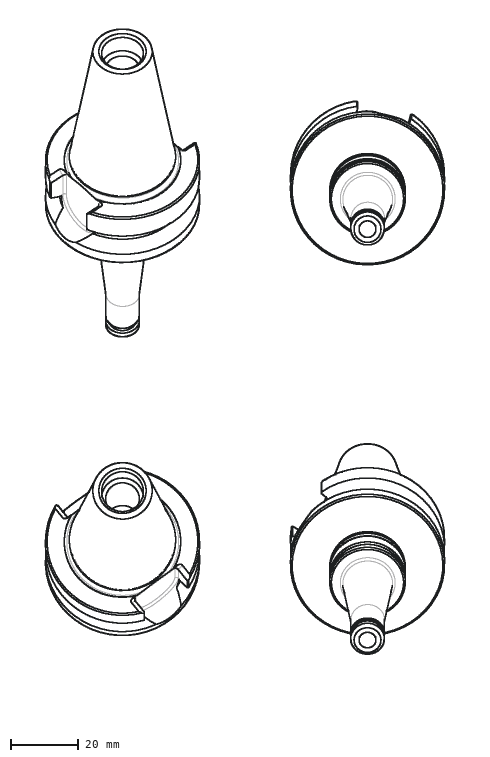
import cadquery as cq
import math

length = 125.9

nose_r = 5.0
nose_groove_r = 4.0
nose_chamfer = 1.0
nose_groove_bottom = 2.8
nose_groove_top = 4.5
nose_groove_bevel = 0.4
nose_top = 15.1

stem_top_r = 7.4
stem_fillet = 0.8

collar_diameter = 22.5
collar_r = collar_diameter / 2
collar_bottom = 42.8
collar_chamfer = 0.5
collar_root_r = 10.8
groove_bevel_r = 11.0
groove_arc_height = 1.1
groove_bevel_height = 0.8
lower_groove_bottom = 45.5
upper_groove_bottom = 51.9
collar_bevel_start = 54.6
collar_bevel = 0.3

flange_diameter = 46.0
flange_r = flange_diameter / 2
flange_bottom = 55.5
flange_top = 76.3
flange_chamfer = 0.5
v_root_r = 18.9
v_lower_edge = 59.8
v_root_bottom = 62.0
v_root_top = 65.6
v_upper_edge = 68.1

relief_r = 17.4
relief_depth = 0.4
neck_diameter = 31.1
neck_r = neck_diameter / 2
neck_fillet = 1.1

shank_base = 77.8
shank_base_r = 15.9
taper_ratio = 7 / 24
shank_top_r = shank_base_r - (length - shank_base) * taper_ratio / 2

mouth_r = 7.0
counterbore_diameter = 12.5
counterbore_r = counterbore_diameter / 2
counterbore_depth = 6.9
thread_countersink = 1.0
thread_r = 5.0
thread_depth = 30.2
through_r = 2.5
drill_tip_half_angle = 59.0

slot_half_width = 8.0
slot_wall_spacing = 31.9
slot_wall_y = slot_wall_spacing / 2
slot_centre_z = 66.3
slot_fillet = 0.8
slot_top_chamfer = 1.5
slot_edge_chamfer = 0.4


def lower_collar_groove(profile):
    """Bevel at the bottom, rounded root at the top."""
    arc_start = lower_groove_bottom + groove_bevel_height
    return (
        profile.lineTo(collar_r, lower_groove_bottom)
        .lineTo(groove_bevel_r, arc_start)
        .threePointArc(
            (collar_root_r, arc_start + groove_arc_height / 2),
            (collar_r, arc_start + groove_arc_height),
        )
    )


def upper_collar_groove(profile):
    """Mirror image of the lower groove: rounded root at the bottom, bevel at the top."""
    arc_end = upper_groove_bottom + groove_arc_height
    return (
        profile.lineTo(collar_r, upper_groove_bottom)
        .threePointArc(
            (collar_root_r, upper_groove_bottom + groove_arc_height / 2),
            (groove_bevel_r, arc_end),
        )
        .lineTo(collar_r, arc_end + groove_bevel_height)
    )


def turned_body():
    """Outer shape, revolved from one half-profile running up from the nose."""
    relief_z = flange_top - relief_depth
    profile = (
        cq.Workplane("XZ")
        .lineTo(nose_r - nose_chamfer, 0)
        .lineTo(nose_r, nose_chamfer)
        .lineTo(nose_r, nose_groove_bottom)
        .lineTo(nose_groove_r, nose_groove_bottom)
        .lineTo(nose_groove_r, nose_groove_top)
        .lineTo(nose_r - nose_groove_bevel, nose_groove_top)
        .lineTo(nose_r, nose_groove_top + nose_groove_bevel)
        .lineTo(nose_r, nose_top)
        .lineTo(stem_top_r, collar_bottom - stem_fillet)
        .radiusArc((stem_top_r + stem_fillet, collar_bottom), stem_fillet)
        .lineTo(collar_r - collar_chamfer, collar_bottom)
        .lineTo(collar_r, collar_bottom + collar_chamfer)
    )
    profile = lower_collar_groove(profile)
    profile = upper_collar_groove(profile)
    profile = (
        profile.lineTo(collar_r, collar_bevel_start)
        .lineTo(collar_r - collar_bevel, flange_bottom)
        .lineTo(flange_r - flange_chamfer, flange_bottom)
        .lineTo(flange_r, flange_bottom + flange_chamfer)
        .lineTo(flange_r, v_lower_edge)
        .lineTo(v_root_r, v_root_bottom)
        .lineTo(v_root_r, v_root_top)
        .lineTo(flange_r, v_upper_edge)
        .lineTo(flange_r, flange_top - flange_chamfer)
        .lineTo(flange_r - flange_chamfer, flange_top)
        .lineTo(relief_r, flange_top)
        .lineTo(relief_r, relief_z)
        .lineTo(neck_r + neck_fillet, relief_z)
        .radiusArc((neck_r, relief_z + neck_fillet), neck_fillet)
        .lineTo(neck_r, shank_base)
        .lineTo(shank_base_r, shank_base)
        .lineTo(shank_top_r, length)
        .lineTo(0, length)
        .close()
    )
    return profile.revolve(360, (0, 0), (0, 1))


def axial_bore():
    """Cutter for the stepped bore: through hole, countersunk thread hole, chamfered counterbore."""
    counterbore_end = length - counterbore_depth
    mouth_chamfer = mouth_r - counterbore_r
    thread_end = length - thread_depth
    tip_height = (thread_r - through_r) / math.tan(math.radians(drill_tip_half_angle))
    return (
        cq.Workplane("XZ")
        .lineTo(through_r, 0)
        .lineTo(through_r, thread_end - tip_height)
        .lineTo(thread_r, thread_end)
        .lineTo(thread_r, counterbore_end - thread_countersink)
        .lineTo(counterbore_r, counterbore_end)
        .lineTo(counterbore_r, length - mouth_chamfer)
        .lineTo(mouth_r, length)
        .lineTo(0, length)
        .close()
        .revolve(360, (0, 0), (0, 1))
    )


def drive_slot():
    """Round-bottomed slot cutter on the -Y side, flared at the flange top."""
    flare_bottom = flange_top - slot_top_chamfer
    flare_half_width = slot_half_width + slot_top_chamfer
    slot = (
        cq.Workplane("XZ", origin=(0, -slot_wall_y, 0))
        .moveTo(-flare_half_width, flange_top)
        .lineTo(-slot_half_width, flare_bottom)
        .lineTo(-slot_half_width, slot_centre_z)
        .threePointArc((0, slot_centre_z - slot_half_width), (slot_half_width, slot_centre_z))
        .lineTo(slot_half_width, flare_bottom)
        .lineTo(flare_half_width, flange_top)
        .close()
        .extrude(flange_r)
    )
    return slot.faces(">Y").edges("not >Z").fillet(slot_fillet)


def slot_rim_edges(body):
    """Upright edges where the slot sides meet the flange rim above the V-groove."""
    rim_y = math.sqrt(flange_r**2 - slot_half_width**2)
    mid_z = (v_upper_edge + flange_top - slot_top_chamfer) / 2
    corners = [(x, y, mid_z) for x in (-slot_half_width, slot_half_width) for y in (-rim_y, rim_y)]
    return body.newObject([body.edges(cq.NearestToPointSelector(corner)).val() for corner in corners])


result = turned_body().cut(axial_bore())
for angle in (0, 180):
    result = result.cut(drive_slot().rotate((0, 0, 0), (0, 0, 1), angle))
result = slot_rim_edges(result).chamfer(slot_edge_chamfer)